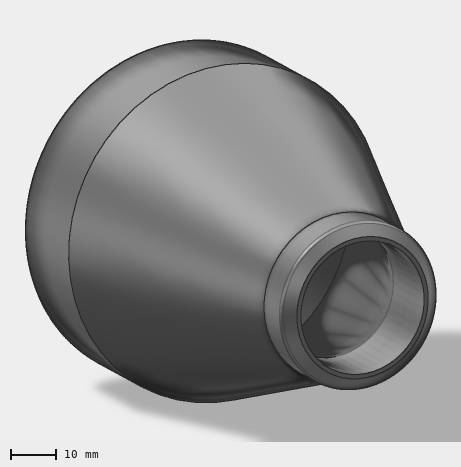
import cadquery as cq
import math

length = 90.0
large_outer_diameter = 76.1
large_bore_diameter = 68.9
small_outer_diameter = 38.0
small_bore_diameter = 30.0
large_collar_length = 23.0
small_collar_length = 10.0
straight_bore_length = 15.0

land_width = 1.0
bevel_angle = 32.5
bevel_rounding = 1.0

large_outer_radius = large_outer_diameter / 2
large_bore_radius = large_bore_diameter / 2
small_outer_radius = small_outer_diameter / 2
small_bore_radius = small_bore_diameter / 2
cone_start = large_collar_length
cone_end = length - small_collar_length


def bevel_depth(outer_radius, bore_radius):
    """Axial depth of a weld bevel that leaves the flat land beside the bore."""
    return (outer_radius - bore_radius - land_width) * math.tan(math.radians(bevel_angle))


large_bevel_depth = bevel_depth(large_outer_radius, large_bore_radius)
small_bevel_depth = bevel_depth(small_outer_radius, small_bore_radius)

wall_section = (
    cq.Workplane("XZ")
    .moveTo(0, large_bore_radius)
    .lineTo(0, large_bore_radius + land_width)
    .lineTo(large_bevel_depth, large_outer_radius)
    .lineTo(cone_start, large_outer_radius)
    .lineTo(cone_end, small_outer_radius)
    .lineTo(length - small_bevel_depth, small_outer_radius)
    .lineTo(length, small_bore_radius + land_width)
    .lineTo(length, small_bore_radius)
    .lineTo(length - straight_bore_length, small_bore_radius)
    .lineTo(straight_bore_length, large_bore_radius)
    .close()
)
reducer = wall_section.revolve(360, (0, 0, 0), (1, 0, 0))


def circular_edge_at(x, radius):
    """Selector for the circular edge of the given radius at the given X."""
    reach = 0.1
    lower = (x - reach, -radius - reach, -radius - reach)
    upper = (x + reach, radius + reach, radius + reach)
    return cq.selectors.BoxSelector(lower, upper, boundingbox=True)


bevel_corners = [
    (large_bevel_depth, large_outer_radius),
    (length - small_bevel_depth, small_outer_radius),
]
for corner_x, corner_radius in bevel_corners:
    corner_edge = reducer.edges("%CIRCLE").edges(circular_edge_at(corner_x, corner_radius))
    reducer = corner_edge.fillet(bevel_rounding)

result = reducer